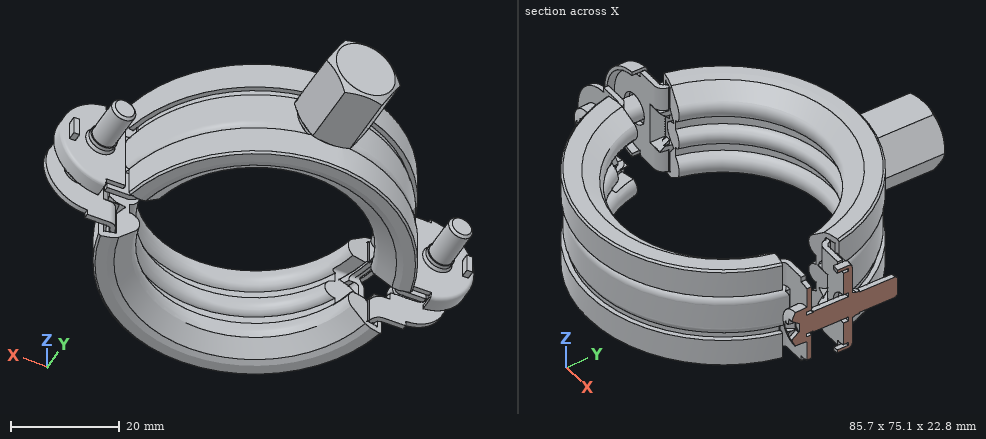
import cadquery as cq
import math


ring_r = 30.0
liner_half_height = 11.42
liner_end_angle = 12.0
liner_edge_break = 0.4
lip_thickness = 1.0
lip_inner_z = 5.2
lip_shoulder_r = 27.4
shoulder_r = 26.1
shoulder_z = 11.0
bore_r = 22.1
cone_end_r = 22.8
cone_end_z = 8.5
side_rib_z = 6.5
web_inner_r = 24.0
web_outer_r = 24.8
web_start_z = 2.17
web_end_z = 4.2
web_back_z = 3.0
rib_tip_r = 27.9
rib_tip_half = 0.9

sheet = 1.1
band_inner_r = 26.6
band_outer_r = band_inner_r + sheet
band_half = 10.0
band_end_angle = 11.5
bead_r = 29.6
bead_flat_half = 2.74
bead_half = 4.7
bead_corner_x = bead_r - (bead_half - bead_flat_half)
edge_clearance = 0.05
slot_top_z = band_half + edge_clearance

ear_near_y = 3.5
ear_far_y = ear_near_y + sheet
ear_round_x = 32.66
ear_round_r = 8.9
ear_shoulder_x = 33.0
bend_r = 2.0
bend_x = 28.35
bead_mouth_x = 29.7
bead_mouth_half = 4.6
bead_foot_x = 29.3
bead_foot_half = 4.6
mouth_taper = 45
bend_overlap = 0.1
bend_end_y = ear_near_y + bend_r + bend_overlap
screw_x = 34.9
upper_hole_d = 6.65
lower_hole_d = 5.8
entry_depth_y = 10.2
entry_half = 4.6
entry_corner_r = 0.7
entry_flare_x = 30.0

cup_r = 10.2
cup_wall = 0.8
cup_near_y = 2.14
cup_far_y = 5.55
cup_fillet = 0.9
cup_rim_end_x = 33.65
cup_plate_end_x = 29.65
cup_plate_half = 8.9
collar_d = 5.5
collar_base_d = 6.1
collar_flare_y = 6.3
collar_top_y = 7.12
tab_x = 40.7
tab_thickness = 1.2
tab_width = 3.9
tab_top_y = 7.35

screw_d = 5.0
neck_d = 4.6
neck_top_y = -3.2
screw_top_y = 15.55
screw_chamfer = 0.5
head_d = 8.38
head_rim_d = 8.1
head_rim_y = -7.17
head_end_y = -8.27
recess_half = 2.45
recess_arm = 1.75
recess_floor_half = 1.0
recess_depth = 2.0
recess_arm_depth = 1.85
recess_centre_taper = 12

nut_flats = 13.3
nut_end_y = 45.05
nut_start_y = ring_r
nut_chamfer_d = 12.2
nut_chamfer_y = 1.0
nut_foot_d = 12.0
nut_corners = nut_flats / math.cos(math.pi / 6)


def block(x_range, y_range, z_half):
    """Box between two X and two Y values, centred on Z = 0."""
    (x0, x1), (y0, y1) = x_range, y_range
    return cq.Workplane("XY").box(x1 - x0, y1 - y0, 2 * z_half).translate(((x0 + x1) / 2, (y0 + y1) / 2, 0))


def rod(x, y0, y1, d0, d1=None):
    """Cylinder along +Y, or a cone when a second diameter is given."""
    end_r = (d0 if d1 is None else d1) / 2
    profile = cq.Workplane("XY").polyline([(0, y0), (d0 / 2, y0), (end_r, y1), (0, y1)]).close()
    return profile.revolve(360, (0, 0), (0, 1)).translate((x, 0, 0))


def half_ring(profile, end_angle):
    """Revolve an (r, Z) profile into the upper half ring, open by end_angle at each end."""
    return profile.revolve(180 - 2 * end_angle, (0, 0), (0, 1)).rotate((0, 0, 0), (0, 0, 1), end_angle)


def mirror_z(points):
    """Reflect (r, Z) points through Z = 0, keeping the outline running the same way round."""
    return [(r, -z) for r, z in reversed(points)]


def half_liner():
    """Rubber liner: three inner ribs, and outer lips that wrap around the band edges."""
    lip_r = ring_r - lip_thickness
    edge = ring_r - liner_edge_break
    rounding_z = liner_half_height - liner_edge_break
    back = [(rib_tip_r, rib_tip_half), (band_inner_r, web_start_z), (web_outer_r, web_back_z)]
    channel = [(band_inner_r, lip_inner_z), (band_inner_r, slot_top_z), (lip_r, slot_top_z)]
    outside = [(lip_r, lip_inner_z), (ring_r, lip_inner_z), (ring_r, rounding_z), (edge, liner_half_height)]
    crown = [(lip_shoulder_r, liner_half_height), (shoulder_r, shoulder_z), (cone_end_r, cone_end_z)]
    top = back + channel + outside + crown
    profile = (
        cq.Workplane("XZ")
        .polyline(mirror_z(top) + top)
        .threePointArc((bore_r, side_rib_z), (web_inner_r, web_end_z))
        .lineTo(web_inner_r, web_start_z)
        .threePointArc((bore_r, 0), (web_inner_r, -web_start_z))
        .lineTo(web_inner_r, -web_end_z)
        .threePointArc((bore_r, -side_rib_z), (cone_end_r, -cone_end_z))
        .close()
    )
    return half_ring(profile, liner_end_angle)


def bead_outline(offset):
    """Bead cross-section, moved inward by offset from its outer skin."""
    corner_r = bead_r - bead_corner_x - offset
    side_z = bead_flat_half + corner_r
    diagonal = corner_r / math.sqrt(2)
    crest_r = bead_r - offset
    return (
        cq.Workplane("XZ")
        .moveTo(band_inner_r, -side_z)
        .lineTo(bead_corner_x, -side_z)
        .threePointArc((bead_corner_x + diagonal, -bead_flat_half - diagonal), (crest_r, -bead_flat_half))
        .lineTo(crest_r, bead_flat_half)
        .threePointArc((bead_corner_x + diagonal, bead_flat_half + diagonal), (bead_corner_x, side_z))
        .lineTo(band_inner_r, side_z)
        .close()
    )


def half_band():
    """Flat band with a hollow centre bead; the bead runs on to the ear plates."""
    flat = cq.Workplane("XZ").moveTo((band_inner_r + band_outer_r) / 2, 0).rect(sheet, 2 * band_half)
    above_ear = block((-ring_r, ring_r), (ear_near_y, ring_r), bead_half)
    bead = half_ring(bead_outline(0), 0).intersect(above_ear)
    hollow = half_ring(bead_outline(sheet), 0)
    return half_ring(flat, band_end_angle).union(bead).cut(hollow)


def ear():
    """Upper right ear: plate with a rounded tongue, bent into the band."""
    inner_r = bend_r - sheet
    outer_diagonal = bend_r / math.sqrt(2)
    inner_diagonal = inner_r / math.sqrt(2)
    centre_y = ear_near_y + bend_r
    tip_x = ear_round_x + ear_round_r
    strip = (
        cq.Workplane("XY")
        .moveTo(tip_x, ear_near_y)
        .lineTo(bend_x, ear_near_y)
        .threePointArc((bend_x - outer_diagonal, centre_y - outer_diagonal), (bend_x - bend_r, centre_y))
        .lineTo(bend_x - bend_r, bend_end_y)
        .lineTo(bend_x - inner_r, bend_end_y)
        .lineTo(bend_x - inner_r, centre_y)
        .threePointArc((bend_x - inner_diagonal, centre_y - inner_diagonal), (bend_x, ear_far_y))
        .lineTo(tip_x, ear_far_y)
        .close()
        .extrude(band_half, both=True)
    )
    y_range = (0, ring_r)
    tongue = rod(ear_round_x, *y_range, 2 * ear_round_r)
    outline = tongue.union(block((0, ear_shoulder_x), y_range, band_half))
    return strip.intersect(outline)


def tapered_mouth(end_x, z_half, start_y):
    """Block reaching out to +/-end_x that narrows along +Y up to the end of the bend."""
    depth = bend_end_y - start_y
    mouth = cq.Workplane("XZ").rect(2 * end_x, 2 * z_half).extrude(-depth, taper=mouth_taper)
    return mouth.translate((0, start_y, 0))


def half_clamp(hole_d):
    """Upper half of the clamp: band and two ears with screw holes."""
    right_ear = ear().cut(rod(screw_x, 0, ring_r, hole_d))
    bead_foot = tapered_mouth(bead_foot_x, bead_foot_half, ear_far_y)
    bead_foot = bead_foot.cut(block((-bead_corner_x, bead_corner_x), (0, ring_r), bead_foot_half))
    plates = half_band().union(right_ear).union(right_ear.mirror("YZ")).union(bead_foot)
    bead_mouth = tapered_mouth(bead_mouth_x, bead_mouth_half, ear_near_y)
    return plates.cut(bead_mouth)


def screw_entry():
    """Opening in the lower left ear and bead that lets the screw swing in sideways."""
    slot = block((-screw_x, -bead_r + sheet), (-bend_end_y, 0), lower_hole_d / 2)
    window = block((-ring_r, 0), (-entry_depth_y, -ear_far_y), entry_half)
    window = window.edges("|X and <Y").fillet(entry_corner_r)
    flare_start = entry_flare_x - (entry_half - lower_hole_d / 2)
    flare = (
        cq.Workplane("XZ")
        .polyline([
            (-entry_flare_x, -lower_hole_d / 2),
            (-flare_start, -entry_half),
            (-flare_start, entry_half),
            (-entry_flare_x, lower_hole_d / 2),
        ])
        .close()
        .extrude(bend_end_y)
    )
    inner_gap = block((-flare_start, 0), (-bend_end_y, 0), entry_half)
    return slot.union(window).union(inner_gap).union(flare)


def cup_washer():
    """Right cup washer: plate with a half-round rim, a threaded collar and an upright tab."""
    disc = rod(ear_round_x, cup_near_y, cup_far_y, 2 * cup_r).faces(">Y").edges().fillet(cup_fillet)
    disc = disc.cut(rod(ear_round_x, cup_near_y, ear_far_y, 2 * (cup_r - cup_wall)))
    rim = disc.intersect(block((cup_rim_end_x, 2 * cup_rim_end_x), (0, ring_r), cup_r))
    plate = block((cup_plate_end_x, cup_rim_end_x), (ear_far_y, cup_far_y), cup_plate_half)
    flare = rod(screw_x, cup_far_y, collar_flare_y, collar_base_d, collar_d)
    collar = rod(screw_x, collar_flare_y, collar_top_y, collar_d)
    tab_sides = (tab_x - tab_thickness / 2, tab_x + tab_thickness / 2)
    tab = block(tab_sides, (ear_far_y, tab_top_y), tab_width / 2)
    return rim.union(plate).union(flare).union(collar).union(tab)


def cross_recess():
    """Tapered cross-shaped driver recess on the Y axis, open toward -Y."""
    floor_y = head_end_y + recess_depth
    arm_floor_y = head_end_y + recess_arm_depth
    arm = (
        cq.Workplane("XY")
        .polyline([
            (-recess_half, head_end_y),
            (recess_half, head_end_y),
            (recess_floor_half, arm_floor_y),
            (-recess_floor_half, arm_floor_y),
        ])
        .close()
        .extrude(recess_arm / 2, both=True)
    )
    octagon_sides = 8
    octagon_d = 2 * recess_floor_half / math.cos(math.pi / octagon_sides)
    centre = cq.Workplane("XZ").polygon(octagon_sides, octagon_d)
    centre = centre.extrude(recess_depth, taper=-recess_centre_taper)
    centre = centre.rotate((0, 0, 0), (0, 1, 0), 180 / octagon_sides).translate((0, floor_y, 0))
    return arm.union(arm.rotate((0, 0, 0), (0, 1, 0), 90)).union(centre)


def screw():
    """Right screw with a domed head below the lower ear."""
    shank = rod(0, neck_top_y, screw_top_y, screw_d).faces(">Y").chamfer(screw_chamfer)
    neck = rod(0, -ear_far_y, neck_top_y, neck_d)
    dome_height = head_rim_y - head_end_y
    rim_r = head_rim_d / 2
    dome_r = (rim_r**2 + dome_height**2) / (2 * dome_height)
    mid_r = rim_r / 2
    mid_y = head_end_y + dome_r - math.sqrt(dome_r**2 - mid_r**2)
    head = (
        cq.Workplane("XY")
        .moveTo(0, -ear_far_y)
        .lineTo(head_d / 2, -ear_far_y)
        .lineTo(rim_r, head_rim_y)
        .threePointArc((mid_r, mid_y), (0, head_end_y))
        .close()
        .revolve(360, (0, 0), (0, 1))
    )
    body = shank.union(neck).union(head).cut(cross_recess())
    return body.translate((screw_x, 0, 0))


def nut():
    """Hexagonal connection nut with chamfered ends on a round foot."""
    length = nut_end_y - nut_start_y
    hexagon = cq.Workplane("XZ").polygon(6, nut_corners).extrude(-length).translate((0, nut_start_y, 0))
    low_y = nut_start_y + nut_chamfer_y
    high_y = nut_end_y - nut_chamfer_y
    envelope = rod(0, nut_start_y, low_y, nut_chamfer_d, nut_corners)
    envelope = envelope.union(rod(0, low_y, high_y, nut_corners))
    envelope = envelope.union(rod(0, high_y, nut_end_y, nut_corners, nut_chamfer_d))
    foot = rod(0, bead_r - sheet / 2, nut_start_y, nut_foot_d)
    return hexagon.intersect(envelope).union(foot)


entry = screw_entry()
upper_half = half_clamp(upper_hole_d)
lower_half = half_clamp(lower_hole_d).mirror("XZ").cut(entry)
upper_liner = half_liner()
lower_liner = upper_liner.mirror("XZ").cut(entry)

result = upper_half.union(lower_half).union(upper_liner).union(lower_liner).union(nut())
for fitting in (cup_washer(), screw()):
    result = result.union(fitting).union(fitting.mirror("YZ"))